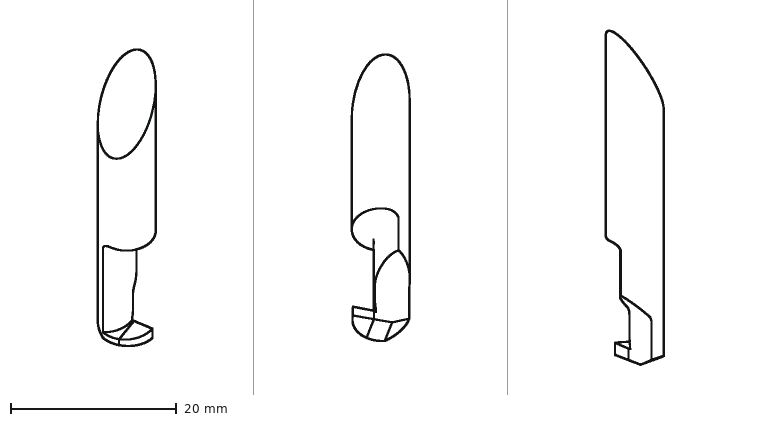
import cadquery as cq
import math

length = 43.3
diameter = 7.0
radius = diameter / 2
end_angle = 60.0

neck_edge_x = 0.8
neck_radius = radius
neck_center_x = neck_edge_x - neck_radius
neck_top = 16.25
neck_fillet = 1.05

relief_growth = 0.1
relief_radius = neck_radius + relief_growth
relief_tilt = 5.5
relief_top = 3.1

face_y = 0.2
ramp_foot = 6.65
ramp_fillet = 1.55

hook_top = 1.55
side_relief = 0.07
edge_slope = 0.025
corner_x = neck_center_x / 2
corner_y = -math.sqrt(radius**2 - corner_x**2)
corner_slope = 0.58
root_crest_y = -3.4

joint_x = 0.9
joint_y = -3.25
tip_mid_x = 2.43
tip_mid_y = -2.3

reach = 3 * diameter


def half_space(origin, normal):
    """Large block on the side of a plane that its normal points to."""
    plane = cq.Plane(origin=origin, normal=normal)
    return cq.Workplane(plane).rect(2 * reach, 2 * reach).extrude(reach)


def make_bar():
    bar = cq.Workplane("XY").circle(radius).extrude(length)
    slope = math.radians(end_angle)
    return bar.cut(half_space((0, radius, length), (0, -math.sin(slope), math.cos(slope))))


def neck_cutter():
    """Everything outside the neck section, with a rounded upper inner edge."""
    neck = (
        cq.Workplane("XY")
        .center(neck_center_x, 0)
        .circle(neck_radius)
        .extrude(neck_top)
    )
    flare = (
        cq.Workplane("XZ", origin=(neck_center_x, 0, 0))
        .moveTo(neck_radius, neck_top - neck_fillet)
        .radiusArc((neck_radius + neck_fillet, neck_top), neck_fillet)
        .lineTo(0, neck_top)
        .lineTo(0, neck_top - neck_fillet)
        .close()
        .revolve(360, (0, 0), (0, 1))
    )
    open_side = cq.Workplane("XY").box(reach, reach, neck_top, centered=(False, True, False))
    open_side = open_side.translate((corner_x, 0, 0))
    return open_side.cut(neck).cut(flare)


def relief_cutter():
    """Everything outside a tilted round section, below the relief top."""
    inside = (
        cq.Workplane("XY")
        .circle(relief_radius)
        .extrude(reach, both=True)
        .translate((-relief_radius, 0, 0))
        .rotate((0, 0, 0), (0, 1, 0), relief_tilt)
        .translate((neck_edge_x, 0, relief_top))
    )
    outside = cq.Workplane("XY").box(reach, reach, relief_top, centered=(False, True, False))
    return outside.translate((corner_x, 0, 0)).cut(inside)


def face_cutter():
    """Material removed above the rake face, ending in a rounded 45 degree ramp."""
    ramp_run = reach - face_y
    profile = (
        cq.Workplane("YZ")
        .moveTo(face_y, 0)
        .lineTo(reach, 0)
        .lineTo(reach, ramp_foot + ramp_run)
        .lineTo(face_y, ramp_foot)
        .close()
        .extrude(reach, both=True)
    )
    ramp_corner = cq.selectors.NearestToPointSelector((0, face_y, ramp_foot))
    return profile.edges(ramp_corner).fillet(ramp_fillet)


def trim_underside(body):
    edge_corner = (radius, face_y, 0)
    return body.cut(half_space(edge_corner, (-edge_slope, -side_relief, -1)))


def trim_hook_top(body):
    return body.cut(half_space((0, face_y, hook_top), (0, -side_relief, 1)))


def make_hook_root():
    """Part of the hook that belongs to the shank, between the neck and the joint."""
    root = (
        cq.Workplane("XY")
        .moveTo(corner_x, face_y)
        .lineTo(joint_x, face_y)
        .lineTo(joint_x, joint_y)
        .threePointArc((0, root_crest_y), (corner_x, corner_y))
        .close()
        .extrude(hook_top)
    )
    return trim_hook_top(root)


def make_shank():
    shank = make_bar().cut(neck_cutter()).cut(relief_cutter())
    shank = shank.union(make_hook_root()).cut(face_cutter())
    shank = trim_underside(shank)
    corner_z = edge_slope * (radius - corner_x)
    return shank.cut(half_space((corner_x, face_y, corner_z), (-corner_slope, -side_relief, -1)))


def make_tip():
    tip = (
        cq.Workplane("XY")
        .moveTo(joint_x, face_y)
        .lineTo(radius, face_y)
        .threePointArc((tip_mid_x, tip_mid_y), (joint_x, joint_y))
        .close()
        .extrude(hook_top)
    )
    return trim_underside(trim_hook_top(tip))


shank = make_shank()
tip = make_tip()
result = cq.Compound.makeCompound([shank.val(), tip.val()])